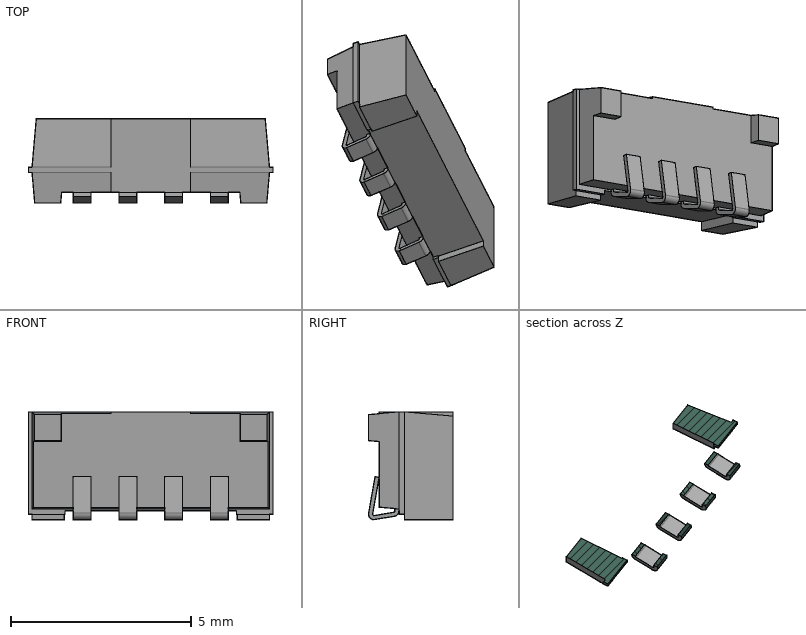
import cadquery as cq
import math


HEIGHT = 3.0
DRAFT = 5.0
BODY_WIDTH = 6.6
REAR_DEPTH = 1.35
FRONT_DEPTH = 0.55
FRONT_BOTTOM = 0.302

FLANGE_WIDTH = 6.8
FLANGE_DEPTH = 0.15
FLANGE_BOTTOM = 0.15
FLANGE_NOTCH_WIDTH = 4.76

FOOT_WIDTH = 0.9
RECESS_TOP = 0.25

NUB_SIZE = 0.78
NUB_DEPTH = 0.3

PAD_WIDTH = 2.2
PAD_THICKNESS = 0.15

CONTACT_COUNT = 4
CONTACT_PITCH = 1.27
CONTACT_WIDTH = 0.5
STRIP_THICKNESS = 0.12
BEND_INNER_RADIUS = 0.04
CONTACT_TILT = 10.0

BODY_REAR = FLANGE_DEPTH + REAR_DEPTH
FRONT_FACE = -FRONT_DEPTH
FRONT_TIP = FRONT_FACE - NUB_DEPTH
DRAFT_SLOPE = math.tan(math.radians(DRAFT))


def block(x_size, y_range, z_range):
    """Box centred on X that spans the given Y and Z ranges."""
    y_start, y_end = y_range
    z_start, z_end = z_range
    return (
        cq.Workplane("XY")
        .box(x_size, y_end - y_start, z_end - z_start, centered=(True, False, False))
        .translate((0, y_start, z_start))
    )


def tapered_block(y_root, x_centre, z_bottom, z_top, width, depth):
    """Rectangle at y_root extruded towards -Y with draft on all four sides."""
    return (
        cq.Workplane("XZ", origin=(x_centre, y_root, (z_bottom + z_top) / 2))
        .rect(width, z_top - z_bottom)
        .extrude(depth, taper=DRAFT)
    )


def rear_body():
    """Block behind the flange, with drafted sides and top and a flat underside, standing on two feet."""
    inset = REAR_DEPTH * DRAFT_SLOPE
    half_width = BODY_WIDTH / 2
    plan = (
        cq.Workplane("XY")
        .polyline([
            (-half_width, FLANGE_DEPTH),
            (half_width, FLANGE_DEPTH),
            (half_width - inset, BODY_REAR),
            (-half_width + inset, BODY_REAR),
        ])
        .close()
        .extrude(HEIGHT)
    )
    side = (
        cq.Workplane("YZ")
        .polyline([
            (FLANGE_DEPTH, 0),
            (BODY_REAR, 0),
            (BODY_REAR, HEIGHT - inset),
            (FLANGE_DEPTH, HEIGHT),
        ])
        .close()
        .extrude(half_width, both=True)
    )
    recess = block(BODY_WIDTH - 2 * FOOT_WIDTH, (FLANGE_DEPTH, BODY_REAR), (0, RECESS_TOP))
    return plan.intersect(side).cut(recess)


def flange():
    """Thin plate standing proud of the body, notched between the feet."""
    plate = block(FLANGE_WIDTH, (0, FLANGE_DEPTH), (FLANGE_BOTTOM, HEIGHT))
    notch = block(FLANGE_NOTCH_WIDTH, (0, FLANGE_DEPTH), (FLANGE_BOTTOM, RECESS_TOP))
    return plate.cut(notch)


def front_body():
    """Drafted block in front of the flange with a nub in each upper corner."""
    body = tapered_block(0, 0, FRONT_BOTTOM, HEIGHT, BODY_WIDTH, FRONT_DEPTH)
    inset = FRONT_DEPTH * DRAFT_SLOPE
    nub_x = BODY_WIDTH / 2 - inset - NUB_SIZE / 2
    nub_top = HEIGHT - inset
    for side in (-1, 1):
        nub = tapered_block(FRONT_FACE, side * nub_x, nub_top - NUB_SIZE, nub_top, NUB_SIZE, NUB_DEPTH)
        body = body.union(nub)
    return body


def make_housing():
    pad = block(PAD_WIDTH, (FRONT_FACE, BODY_REAR), (HEIGHT - PAD_THICKNESS, HEIGHT))
    return rear_body().union(flange()).union(front_body()).union(pad)


def make_contact(x_centre):
    """Bent strip: a stub below the housing, a leg sloping down to the front and a leg leaning back up."""
    tilt = math.radians(CONTACT_TILT)
    inner = BEND_INNER_RADIUS
    outer = inner + STRIP_THICKNESS

    front_y = FRONT_TIP + outer
    front_z = outer
    rear_y = -outer
    rear_z = front_z + (rear_y - front_y) * math.tan(tilt)

    def on_rear_bend(radius, angle):
        return (rear_y + radius * math.cos(angle), rear_z - radius * math.sin(angle))

    def on_front_bend(radius, angle):
        return (front_y - radius * math.cos(angle), front_z - radius * math.sin(angle))

    rear_end = math.pi / 2 - tilt
    rear_middle = rear_end / 2
    front_start = math.pi / 2 - tilt
    front_end = -tilt
    front_middle = (front_start + front_end) / 2

    leg_inner_y, leg_inner_z = on_front_bend(inner, front_end)
    leg_length = (FRONT_FACE - leg_inner_y) / math.sin(tilt)
    tip_inner = (FRONT_FACE, leg_inner_z + leg_length * math.cos(tilt))
    tip_outer = (
        tip_inner[0] - STRIP_THICKNESS * math.cos(tilt),
        tip_inner[1] + STRIP_THICKNESS * math.sin(tilt),
    )

    profile = (
        cq.Workplane("YZ", origin=(x_centre, 0, 0))
        .moveTo(0, FRONT_BOTTOM)
        .lineTo(*on_rear_bend(outer, 0))
        .threePointArc(on_rear_bend(outer, rear_middle), on_rear_bend(outer, rear_end))
        .lineTo(*on_front_bend(outer, front_start))
        .threePointArc(on_front_bend(outer, front_middle), on_front_bend(outer, front_end))
        .lineTo(*tip_outer)
        .lineTo(*tip_inner)
        .lineTo(*on_front_bend(inner, front_end))
        .threePointArc(on_front_bend(inner, front_middle), on_front_bend(inner, front_start))
        .lineTo(*on_rear_bend(inner, rear_end))
        .threePointArc(on_rear_bend(inner, rear_middle), on_rear_bend(inner, 0))
        .lineTo(-STRIP_THICKNESS, FRONT_BOTTOM + STRIP_THICKNESS * DRAFT_SLOPE)
        .close()
    )
    return profile.extrude(CONTACT_WIDTH / 2, both=True)


housing = make_housing()

contacts = []
for index in range(CONTACT_COUNT):
    x_position = (index - (CONTACT_COUNT - 1) / 2) * CONTACT_PITCH
    contacts.append(make_contact(x_position).val())

result = cq.Compound.makeCompound([housing.val(), *contacts])